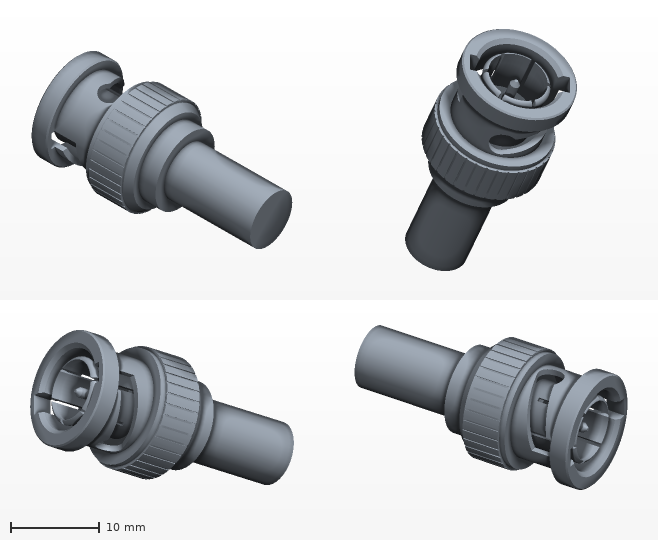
import cadquery as cq
import math


flange_end = 2.35
body_end = 8.18
collar_end = 8.9
knurl_end = 13.52
shoulder_taper_start = 13.7
shoulder_end = 14.6
hub_end = 17.1
length = 29.85

flange_radius = 6.9
flange_chamfer = 0.18
body_radius = 5.58
knurl_diameter = 14.48
knurl_radius = knurl_diameter / 2
shoulder_end_radius = 6.15
hub_radius = 5.25
tube_radius = 3.73

bore_radius = 4.87
mouth_radius = 5.35
mouth_depth = mouth_radius - bore_radius

groove_count = 35
groove_width = 0.25
groove_depth = 0.12

notch_width = 2.42
notch_half_span = 6.0
entry_end = 5.45
slot_axial_width = 2.48
slot_lead = 8.2
slot_start_angle = -math.degrees(math.asin(notch_width / 2 / body_radius))
slot_end_angle = 85.0
hole_diameter = 3.2
hole_x = 6.18

finger_tip = 0.65
finger_lip_radius = 4.05
finger_outer_radius = 3.88
finger_inner_radius = 3.55
finger_tip_wall = 0.05
finger_lip_peak = 1.3
finger_lip_end = 1.8
finger_slot_count = 6
finger_slot_width = 0.48
finger_slot_end = 6.7
insulator_face = 6.15
pin_tip = 1.25
pin_tip_radius = 0.2
pin_cone_end = 1.82
pin_front_radius = 0.6
pin_step = 3.7
pin_radius = 0.72


def cylinder(start, end, radius):
    """Solid cylinder on the X axis between two stations."""
    return cq.Workplane("YZ", origin=(start, 0, 0)).circle(radius).extrude(end - start)


def tube(start, end, outer, inner):
    """Hollow cylinder on the X axis between two stations."""
    return cylinder(start, end, outer).cut(cylinder(start, end, inner))


def revolve_about_x(profile):
    """Revolve a closed (X, radius) profile fully about the X axis."""
    return profile.close().revolve(360, (0, 0, 0), (1, 0, 0))


def block(start, end, width_y, width_z):
    """Box centred on the X axis between two stations."""
    box = cq.Workplane("YZ", origin=(start, 0, 0)).rect(width_y, width_z)
    return box.extrude(end - start)


def make_shell():
    """Solid outer body with flange, collar, grip, hub and rear tube."""
    outline = [
        (0, 0),
        (0, flange_radius - flange_chamfer),
        (flange_chamfer, flange_radius),
        (flange_end - flange_chamfer, flange_radius),
        (flange_end, flange_radius - flange_chamfer),
        (flange_end, body_radius),
        (body_end, body_radius),
        (body_end, flange_radius),
        (collar_end, flange_radius),
        (collar_end, knurl_radius),
        (knurl_end, knurl_radius),
        (knurl_end, flange_radius),
        (shoulder_taper_start, flange_radius),
        (shoulder_end, shoulder_end_radius),
        (shoulder_end, hub_radius),
        (hub_end, hub_radius),
        (hub_end, tube_radius),
        (length, tube_radius),
        (length, 0),
    ]
    return revolve_about_x(cq.Workplane("XY").polyline(outline))


def make_bore():
    """Blind socket bore with a chamfered mouth."""
    outline = [
        (0, 0),
        (0, mouth_radius),
        (mouth_depth, bore_radius),
        (body_end, bore_radius),
        (body_end, 0),
    ]
    return revolve_about_x(cq.Workplane("XY").polyline(outline))


def make_knurl_grooves():
    """Axial grooves around the grip, one of them on the +Y side."""
    return (
        cq.Workplane("YZ", origin=(collar_end, 0, 0))
        .polarArray(knurl_radius, 0, 360, groove_count)
        .rect(2 * groove_depth, groove_width)
        .extrude(knurl_end - collar_end)
    )


def make_helical_slot():
    """Slot starting on the +Y side and climbing toward +Z as it runs along +X."""
    slot_height = slot_lead * (slot_end_angle - slot_start_angle) / 360
    mid_radius = (bore_radius + body_radius) / 2
    radial_size = 2 * (body_radius - bore_radius)
    path = cq.Workplane(obj=cq.Wire.makeHelix(slot_lead, slot_height, mid_radius))
    slot = (
        cq.Workplane("XZ", origin=(mid_radius, 0, 0))
        .rect(radial_size, slot_axial_width)
        .sweep(path, isFrenet=True)
    )
    slot = slot.rotate((0, 0, 0), (0, 1, 0), 90)
    slot = slot.rotate((0, 0, 0), (1, 0, 0), 90 + slot_start_angle)
    start_x = entry_end - slot_axial_width / 2
    return slot.translate((start_x, 0, 0))


def make_bayonet_cuts():
    """Entry notches, helical slots and locking holes, as opposite pairs."""
    slot = make_helical_slot()
    cuts = block(0, entry_end, 2 * body_radius, notch_width)
    cuts = cuts.union(block(0, flange_end, 2 * notch_half_span, notch_width))
    cuts = cuts.union(slot)
    cuts = cuts.union(slot.rotate((0, 0, 0), (1, 0, 0), 180))
    holes = (
        cq.Workplane("XY")
        .center(hole_x, 0)
        .circle(hole_diameter / 2)
        .extrude(flange_radius, both=True)
    )
    return cuts.union(holes)


def make_fingers():
    """Slotted ring whose thin tip swells to a rounded lip."""
    tip_radius = finger_inner_radius + finger_tip_wall
    profile = (
        cq.Workplane("XY")
        .moveTo(finger_tip, finger_inner_radius)
        .lineTo(finger_tip, tip_radius)
        .threePointArc(
            (finger_lip_peak, finger_lip_radius),
            (finger_lip_end, finger_outer_radius),
        )
        .lineTo(body_end, finger_outer_radius)
        .lineTo(body_end, finger_inner_radius)
    )
    ring = revolve_about_x(profile)
    slot = block(finger_tip, finger_slot_end, 2 * bore_radius, finger_slot_width)
    for index in range(finger_slot_count // 2):
        ring = ring.cut(slot.rotate((0, 0, 0), (1, 0, 0), index * 360 / finger_slot_count))
    return ring


def make_pin():
    """Contact pin with a blunt cone tip and a step up in diameter."""
    outline = [
        (pin_tip, 0),
        (pin_tip, pin_tip_radius),
        (pin_cone_end, pin_front_radius),
        (pin_step, pin_front_radius),
        (pin_step, pin_radius),
        (body_end, pin_radius),
        (body_end, 0),
    ]
    return revolve_about_x(cq.Workplane("XY").polyline(outline))


shell = make_shell().cut(make_knurl_grooves())
socket_wall = tube(0, body_end, knurl_radius, bore_radius)
shell = shell.cut(make_bayonet_cuts().intersect(socket_wall)).cut(make_bore())
insulator = cylinder(insulator_face, body_end, finger_inner_radius)
result = shell.union(make_fingers()).union(insulator).union(make_pin())